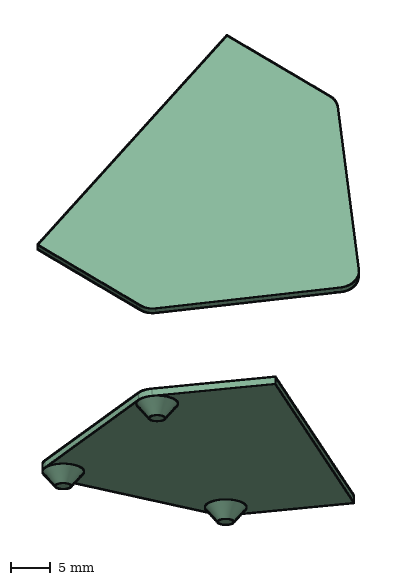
import cadquery as cq
import math

length_x = 35.45
width_y = 40.3
plate_thickness = 1.0
corner_radius = 2.6

foot_height = 1.97
foot_base_radius = corner_radius
foot_tip_radius = 1.0

shoulder_x = 15.95
lower_corner = (shoulder_x, corner_radius)
nose_corner = (length_x - corner_radius, 19.0)
upper_corner = (shoulder_x, width_y - corner_radius)


def on_corner(center, angle):
    """Point on a rounded corner at the given direction from its centre."""
    return (
        center[0] + corner_radius * math.cos(angle),
        center[1] + corner_radius * math.sin(angle),
    )


def edge_normal(start, end):
    """Outward direction of the edge between two corners, taken counterclockwise."""
    return math.atan2(end[1] - start[1], end[0] - start[0]) - math.pi / 2


def add_corner(outline, center, start_angle, end_angle):
    """Draw the line to a rounded corner, then its arc."""
    middle_angle = (start_angle + end_angle) / 2
    return outline.lineTo(*on_corner(center, start_angle)).threePointArc(
        on_corner(center, middle_angle), on_corner(center, end_angle)
    )


def make_plate():
    """Flat plate with two square corners and three rounded ones."""
    lower_normal = edge_normal(lower_corner, nose_corner)
    upper_normal = edge_normal(nose_corner, upper_corner)
    outline = cq.Workplane("XY").moveTo(0, 0)
    outline = add_corner(outline, lower_corner, -math.pi / 2, lower_normal)
    outline = add_corner(outline, nose_corner, lower_normal, upper_normal)
    outline = add_corner(outline, upper_corner, upper_normal, math.pi / 2)
    return outline.lineTo(0, width_y).close().extrude(plate_thickness)


def make_foot(center):
    """Truncated cone narrowing downward from the underside of the plate."""
    base = cq.Vector(center[0], center[1], 0)
    down = cq.Vector(0, 0, -1)
    return cq.Solid.makeCone(foot_base_radius, foot_tip_radius, foot_height, base, down)


result = make_plate()
for corner in (lower_corner, nose_corner, upper_corner):
    result = result.union(make_foot(corner))